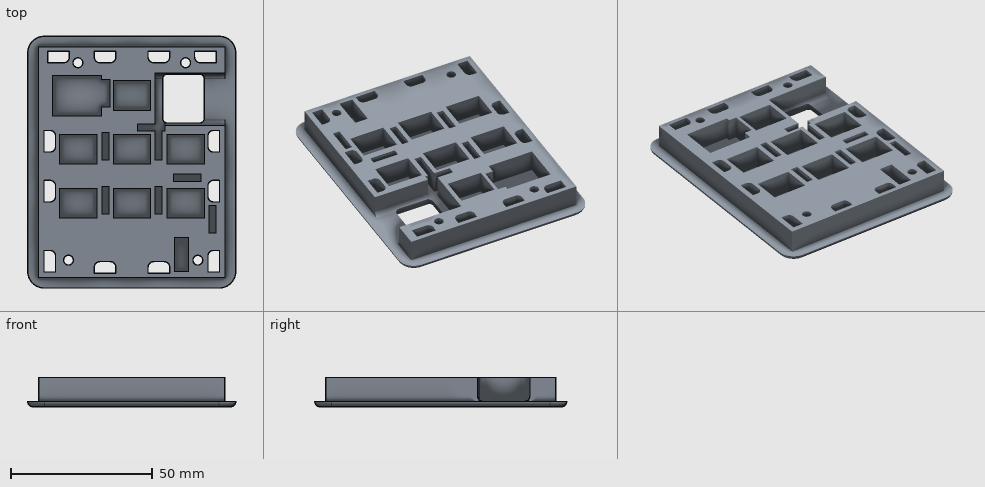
import cadquery as cq

block_length_x = 66.0
block_length_y = 81.5
flange_overhang = 3.875
flange_thickness = 2.0
total_height = 10.5
flange_corner_radius = 6.0

key_pitch = 19.05
layout_center_x = 0.08
key_pocket_x = 13.2
key_pocket_y = 10.5
middle_row_y = 4.55

display_pocket_left = -28.0
display_pocket_right = -10.7
display_pocket_bottom = 16.3
display_pocket_top = 30.6
display_tab_right = -7.7
display_tab_bottom = 19.6
display_tab_top = 29.25

slot_width = 2.55
slot_length = 9.8
slot_column_x = 9.4
slot_offset_y = 1.05
side_slot_center = (28.55, -20.25)
right_cross_slot_center = (19.6, -5.5)
bay_cross_slot_center = (6.95, 12.25)

relief_x = 5.1
relief_y = 12.0
relief_center = (17.6, -32.7)

bay_bottom = 13.0
bay_top = 31.6
bay_fillet = 2.0

window_x = 14.6
window_y = 17.2
window_corner_radius = 1.5
window_center = (18.3, 22.5)

lock_width = 7.55
lock_depth = 4.0
lock_corner_radius = 1.9
lock_edge_x = 31.0
lock_edge_y = 39.25
lock_corner_x = 26.0
lock_side_y = (7.4, -10.25)
lock_corner_y = -35.05

screw_diameter = 3.4
screw_centers = [(-key_pitch, 35.2), (key_pitch, 35.2), (-22.4, -34.7), (23.4, -34.7)]

flange_length_x = block_length_x + 2 * flange_overhang
flange_length_y = block_length_y + 2 * flange_overhang
block_right = block_length_x / 2
right_slot_x = layout_center_x + slot_column_x
bay_left = right_slot_x - slot_width / 2
pocket_floor_z = flange_thickness
row_y = [middle_row_y + key_pitch, middle_row_y, middle_row_y - key_pitch]


def box_between(left, right, bottom, top, floor, ceiling=total_height):
    """Box given by its limits in X, Y and Z."""
    return (
        cq.Workplane("XY", origin=((left + right) / 2, (bottom + top) / 2, floor))
        .rect(right - left, top - bottom)
        .extrude(ceiling - floor)
    )


def box_at(center, size_x, size_y, floor):
    """Box centred on a point in XY, running from the floor to the top face."""
    x, y = center
    return box_between(x - size_x / 2, x + size_x / 2, y - size_y / 2, y + size_y / 2, floor)


def make_flange():
    """Rounded plate whose side curves in to the underside through its full thickness."""
    oversize_plate = (
        cq.Workplane("XY")
        .rect(flange_length_x, flange_length_y)
        .extrude(total_height)
        .edges("|Z")
        .fillet(flange_corner_radius)
        .faces("<Z")
        .edges()
        .fillet(flange_thickness)
    )
    slab = cq.Workplane("XY").rect(flange_length_x, flange_length_y).extrude(flange_thickness)
    return oversize_plate.intersect(slab)


def make_block():
    """Block standing on the flange, with its underside inside the flat of the flange."""
    return cq.Workplane("XY").rect(block_length_x, block_length_y).extrude(total_height)


def cut_key_pockets(body):
    """Three columns by three rows; only the middle column is used in the top row."""
    centers = [(layout_center_x, row_y[0])]
    for y in row_y[1:]:
        for column in (-1, 0, 1):
            centers.append((layout_center_x + column * key_pitch, y))
    for center in centers:
        body = body.cut(box_at(center, key_pocket_x, key_pocket_y, pocket_floor_z))
    return body


def cut_display_pocket(body):
    """Large pocket at the upper left with a narrower tab on its right side."""
    main = box_between(
        display_pocket_left, display_pocket_right, display_pocket_bottom, display_pocket_top, pocket_floor_z
    )
    tab = box_between(
        display_pocket_right, display_tab_right, display_tab_bottom, display_tab_top, pocket_floor_z
    )
    return body.cut(main).cut(tab)


def cut_slots(body):
    """Narrow slots between and beside the key pockets."""
    for x in (layout_center_x - slot_column_x, right_slot_x):
        for y in row_y[1:]:
            center = (x, y + slot_offset_y)
            body = body.cut(box_at(center, slot_width, slot_length, pocket_floor_z))
    body = body.cut(box_at(side_slot_center, slot_width, slot_length, pocket_floor_z))
    for center in (right_cross_slot_center, bay_cross_slot_center):
        body = body.cut(box_at(center, slot_length, slot_width, pocket_floor_z))
    return body


def cut_relief(body):
    """Larger rectangular pocket near the lower right corner."""
    return body.cut(box_at(relief_center, relief_x, relief_y, pocket_floor_z))


def cut_bay(body):
    """Bay open to the right, with a fillet along the foot of its two long walls."""
    bay = box_between(bay_left, block_right, bay_bottom, bay_top, pocket_floor_z)
    body = body.cut(bay.edges("|X and <Z").fillet(bay_fillet))
    slot_mouth_right = bay_cross_slot_center[0] + slot_length / 2
    fillet_end = bay_bottom + bay_fillet
    slot_mouth = box_between(bay_left, slot_mouth_right, bay_bottom, fillet_end, pocket_floor_z)
    slot_run_on = box_between(
        bay_left, bay_left + slot_width, middle_row_y + slot_offset_y, bay_bottom, pocket_floor_z
    )
    return body.cut(slot_mouth).cut(slot_run_on)


def cut_window(body):
    """Through window in the bay floor, with rounded corners."""
    window = (
        cq.Workplane("XY", origin=(*window_center, 0))
        .rect(window_x, window_y)
        .extrude(total_height)
        .edges("|Z")
        .fillet(window_corner_radius)
    )
    return body.cut(window)


def lock_opening(rounded_corners):
    """Opening with its outer edge on +Y at the origin; the named inner corners are rounded."""
    opening = box_between(-lock_width / 2, lock_width / 2, -lock_depth, 0, 0)
    return opening.edges("|Z and <Y").edges(rounded_corners).fillet(lock_corner_radius)


def cut_lock_openings(body):
    """Through openings round all four edges of the block."""
    both = lock_opening("|Z")
    left_only = lock_opening("<X")
    right_only = lock_opening(">X")
    placements = [
        (right_only, 0, layout_center_x - lock_corner_x, lock_edge_y),
        (left_only, 0, layout_center_x + lock_corner_x, lock_edge_y),
    ]
    for x in (layout_center_x - key_pitch / 2, layout_center_x + key_pitch / 2):
        placements.append((both, 0, x, lock_edge_y))
        placements.append((both, 180, x, -lock_edge_y))
    for y in lock_side_y:
        placements.append((both, 90, -lock_edge_x, y))
        placements.append((both, -90, lock_edge_x, y))
    placements.append((right_only, 90, -lock_edge_x, lock_corner_y))
    placements.append((left_only, -90, lock_edge_x, lock_corner_y))
    for opening, angle, x, y in placements:
        body = body.cut(opening.rotate((0, 0, 0), (0, 0, 1), angle).translate((x, y, 0)))
    return body


def cut_screw_holes(body):
    """Four plain through holes."""
    holes = cq.Workplane("XY").pushPoints(screw_centers).circle(screw_diameter / 2).extrude(total_height)
    return body.cut(holes)


result = make_block().union(make_flange())
result = cut_key_pockets(result)
result = cut_display_pocket(result)
result = cut_bay(result)
result = cut_slots(result)
result = cut_relief(result)
result = cut_window(result)
result = cut_lock_openings(result)
result = cut_screw_holes(result)